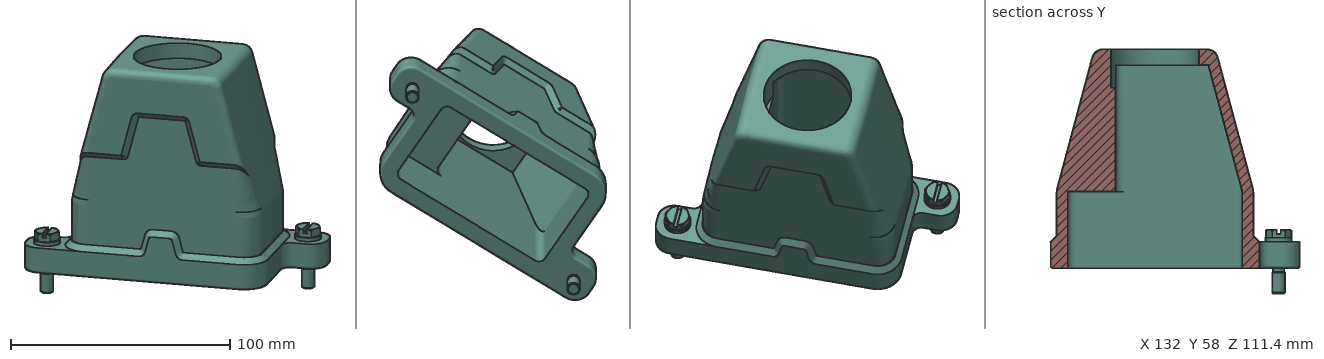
import cadquery as cq
import math

step_angle = 45.0
side_angle = 15.0
ridge_angle = 1.0

waist_half_x = 45.0
waist_half_y = 26.3
waist_corner = 8.5
upper_corner = 9.2
bend_z = 35.0
bend_bevel = 1.3

flange_width = 58.0
flange_half_y = flange_width / 2
step = flange_half_y - waist_half_y
flange_half_x = waist_half_x + step
flange_corner = waist_corner + step
flange_height = 12.1
flange_bottom_round = 1.2
lug_end_x = 66.0
lug_inner_y = 9.9
lug_corner = 7.7
lug_root_round = 4.1

top_z = 99.9
crown_lip_z = 59.7
crown_lip_reach = 7.9
end_margin = 0.03
crown_edge_round = 3.3
crown_end_round = 5.3

recess_top_z = 80.5
recess_half_top = 13.1
tab_top_z = 21.9
tab_half_top = 5.3
recess_corner = 3.3
tab_corner = 1.3

entry_diameter = 40.0
entry_depth = 17.5
roof_thickness = 7.3
wall = 5.3
shaft_right_x = 18.0
shaft_corner = 3.3
cavity_half_y = waist_half_y - wall

screw_x = 56.4
screw_y = 19.4
washer_diameter = 12.0
washer_height = 1.7
head_sides = 6
head_flats = 10.2
head_height = 3.8
head_chamfer = 0.7
slot_width = 1.7
slot_depth = 2.0
neck_diameter = 5.3
neck_length = 1.6
shank_diameter = 6.0
shank_end_z = -11.5
shank_chamfer = 0.5

lean = math.tan(math.radians(side_angle))


def end_x(z):
    """Half length of the hood at height z."""
    return waist_half_x - max(0.0, z - bend_z) * lean


def section(z, half_y, corner=0.0, margin=0.0):
    """Horizontal hood section with ridged ends and optionally rounded corners; margin lengthens both ends."""
    ridge = end_x(z) + margin
    corner_x = ridge - half_y * math.tan(math.radians(ridge_angle))
    points = [(ridge, 0), (corner_x, half_y), (-corner_x, half_y),
              (-ridge, 0), (-corner_x, -half_y), (corner_x, -half_y), (ridge, 0)]
    sketch = cq.Sketch().polygon(points)
    if corner:
        sketch = sketch.vertices(">Y or <Y").fillet(corner)
    return sketch.moved(cq.Location(cq.Vector(0, 0, z)))


def turned(shape):
    """The shape turned half a revolution about the vertical axis."""
    return shape.rotate((0, 0, 0), (0, 0, 1), 180)


def make_waist():
    """Straight waist up to the bend, closed by a narrow bevel."""
    heights = [0, bend_z - bend_bevel, bend_z + bend_bevel]
    corners = [waist_corner, waist_corner, upper_corner]
    sections = [section(z, waist_half_y, corner) for z, corner in zip(heights, corners)]
    return cq.Workplane("XY").placeSketch(*sections).loft(ruled=True)


def make_crown():
    """Leaning upper part: full width above the lip, waist width with conical corners below it."""
    bottom_z = bend_z + bend_bevel
    block = cq.Workplane("XY").placeSketch(
        section(bottom_z, flange_half_y), section(top_z, flange_half_y)).loft(ruled=True)
    block = block.faces(">Z").edges("not |X").fillet(crown_end_round)
    block = block.faces("<Y or >Y").edges("not <Z").fillet(crown_edge_round)

    lip_corner = upper_corner - (end_x(bottom_z) - end_x(crown_lip_z))
    narrow = cq.Workplane("XY").placeSketch(
        section(bottom_z, waist_half_y, upper_corner, end_margin),
        section(crown_lip_z, waist_half_y, lip_corner, end_margin)).loft(ruled=True)
    underside_y = flange_half_y - crown_lip_reach
    underside_z = crown_lip_z - crown_lip_reach
    wide = (
        cq.Workplane("YZ")
        .polyline([(-underside_y, underside_z), (underside_y, underside_z), (flange_half_y, crown_lip_z),
                   (flange_half_y, top_z), (-flange_half_y, top_z), (-flange_half_y, crown_lip_z)])
        .close()
        .extrude(waist_half_x, both=True)
    )
    return block.intersect(wide.union(narrow))


def make_flange():
    """Flange plate with two lugs and a sloped skirt rising to the waist."""
    plate = (
        cq.Workplane("XY")
        .rect(2 * flange_half_x, 2 * flange_half_y)
        .extrude(flange_height)
        .edges("|Z").fillet(flange_corner)
    )
    lug = (
        cq.Workplane("XY")
        .center(lug_end_x / 2, (flange_half_y + lug_inner_y) / 2)
        .rect(lug_end_x, flange_half_y - lug_inner_y)
        .extrude(flange_height)
        .edges("|Z and >X").fillet(lug_corner)
    )
    plate = plate.union(lug).union(turned(lug)).clean()
    for side in (1, -1):
        root = cq.selectors.NearestToPointSelector(
            (side * flange_half_x, side * lug_inner_y, flange_height / 2))
        plate = plate.edges(root).fillet(lug_root_round)
    plate = plate.faces("<Z").edges().fillet(flange_bottom_round)
    skirt = (
        cq.Workplane("XY", origin=(0, 0, flange_height))
        .sketch().rect(2 * flange_half_x, 2 * flange_half_y).vertices().fillet(flange_corner).finalize()
        .extrude(step, taper=step_angle)
    )
    return plate.union(skirt)


def make_recess():
    """Cutter for the sunken band on the -Y face, shrinking inwards at the step angle."""
    recess_half_foot = recess_half_top + (recess_top_z - crown_lip_z) * lean
    tab_half_foot = tab_half_top + (tab_top_z - flange_height) * lean
    half_length = recess_half_foot + 2 * step
    half_outline = [(tab_half_top, tab_top_z), (tab_half_foot, flange_height),
                    (half_length, flange_height), (half_length, crown_lip_z),
                    (recess_half_foot, crown_lip_z), (recess_half_top, recess_top_z)]
    mirrored = [(-x, z) for x, z in reversed(half_outline)]
    outline = half_outline + mirrored + half_outline[:1]
    rounded_corners = [(tab_half_top, tab_top_z, tab_corner), (tab_half_foot, flange_height, recess_corner),
                       (recess_half_top, recess_top_z, recess_corner)]
    sketch = cq.Sketch().polygon(outline)
    for x, z, radius in rounded_corners:
        for side in (1, -1):
            corner = cq.selectors.NearestToPointSelector((side * x, z, 0))
            sketch = sketch.reset().vertices(corner).fillet(radius)
    return (
        cq.Workplane("XZ", origin=(0, -flange_half_y, 0))
        .placeSketch(sketch)
        .extrude(-step, taper=step_angle)
    )


def make_tab_blank():
    """Plain block on the -Y face from which the flange tab is cut."""
    height = tab_top_z + 2 * step - flange_height
    return (
        cq.Workplane("XY", origin=(0, -(waist_half_y + flange_half_y) / 2, flange_height))
        .box(4 * tab_half_top, step, height, centered=(True, True, False))
    )


def make_cavity():
    """Lower chamber, shaft beneath the cable entry and the entry bore itself."""
    chamber_half_x = waist_half_x - wall
    roof_z = top_z - roof_thickness
    left_top_x = -(end_x(roof_z) - wall)
    hollow = (
        cq.Workplane("XZ")
        .polyline([(-chamber_half_x, 0), (chamber_half_x, 0), (chamber_half_x, bend_z),
                   (shaft_right_x, bend_z), (shaft_right_x, roof_z), (left_top_x, roof_z),
                   (-chamber_half_x, bend_z)])
        .close()
        .extrude(cavity_half_y, both=True)
        .edges("|Z").fillet(shaft_corner)
    )
    bore = (
        cq.Workplane("XY", origin=(0, 0, top_z - entry_depth))
        .circle(entry_diameter / 2)
        .extrude(entry_depth)
    )
    return hollow.union(bore)


def make_screw():
    """Slotted hexagon screw with washer face, seated on the flange top."""
    hex_z = flange_height + washer_height
    head_top_z = hex_z + head_height
    head_corners = head_flats / math.cos(math.pi / head_sides)
    washer = (
        cq.Workplane("XY", origin=(0, 0, flange_height))
        .circle(washer_diameter / 2)
        .extrude(washer_height)
    )
    head = cq.Workplane("XY", origin=(0, 0, hex_z)).polygon(head_sides, head_corners).extrude(head_height)
    head_limit = (
        cq.Workplane("XY", origin=(0, 0, hex_z))
        .circle(head_corners / 2)
        .extrude(head_height)
        .faces(">Z").chamfer(head_chamfer)
    )
    slot = (
        cq.Workplane("XY", origin=(0, 0, head_top_z - slot_depth))
        .box(slot_width, 2 * head_flats, 2 * slot_depth, centered=(True, True, False))
    )
    neck = cq.Workplane("XY", origin=(0, 0, -neck_length)).circle(neck_diameter / 2).extrude(flange_height)
    shank = (
        cq.Workplane("XY", origin=(0, 0, shank_end_z))
        .circle(shank_diameter / 2)
        .extrude(-neck_length - shank_end_z)
        .edges().chamfer(shank_chamfer)
    )
    head = head.intersect(head_limit).cut(slot)
    return washer.union(head).union(neck).union(shank).translate((screw_x, screw_y, 0))


tab_blank = make_tab_blank()
recess = make_recess()
wide_parts = make_crown().union(tab_blank).union(turned(tab_blank)).cut(recess).cut(turned(recess))
housing = make_waist().union(wide_parts).union(make_flange()).cut(make_cavity())
screw = make_screw()
result = housing.union(screw).union(turned(screw))